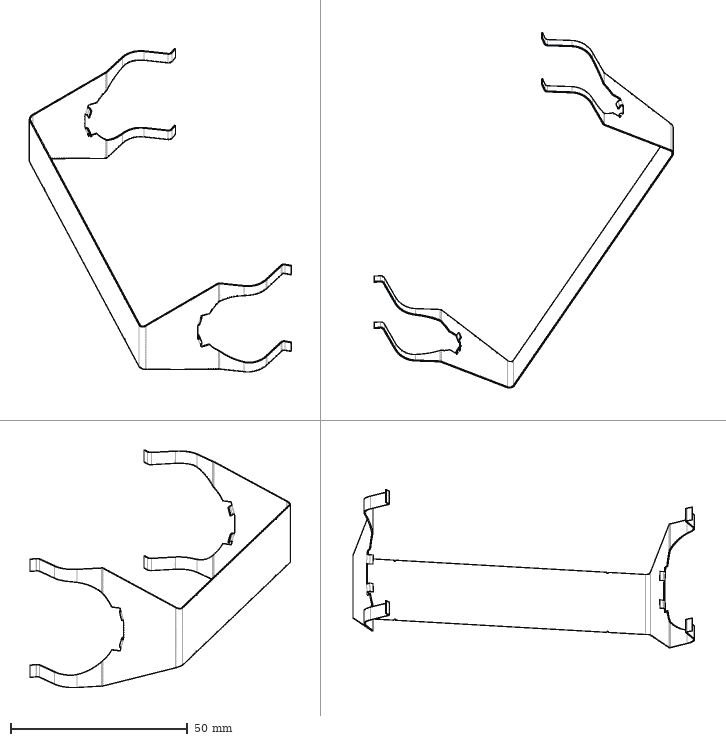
import cadquery as cq
import math

length = 96.2
depth = 45.5
height = 36.1
sheet = 0.35

base_height = 17.5
taper_start = 0.4
notch_spacing = 62.1
notch_radius = 0.3

corner_radius = 1.5
arm_angle = 30.0
arm_start = 23.75
arm_root_radius = 0.5
arm_rise = 7.0
bulge_radius = 6.9
arm_return = 6.8
lip_radius = 0.9
lip_angle = 36.0

opening_center = 33.8
opening_radius = 14.3
recess_depth = 16.3
recess_height = 13.1

tab_angle = 15.0
tab_width = 2.6
tab_reach = 1.7
tab_distance = 16.1
tab_bend_radius = 0.4

sin_arm = math.sin(math.radians(arm_angle))
cos_arm = math.cos(math.radians(arm_angle))
arm_offset = (arm_root_radius + bulge_radius) * (1 - cos_arm) + arm_rise * sin_arm
wall_x = length / 2 - arm_offset
rise_start = arm_start + arm_root_radius * sin_arm
rise_end = rise_start + arm_rise * cos_arm
bulge_center = rise_end + bulge_radius * sin_arm
lip_bend_start = bulge_center + bulge_radius * sin_arm + arm_return * cos_arm
sin_lip = math.sin(math.radians(lip_angle))
cos_lip = math.cos(math.radians(lip_angle))
lip_start = lip_bend_start + lip_radius * (sin_arm + sin_lip)
lip_length = (depth - sheet * sin_lip - lip_start) / cos_lip

tab_root = tab_distance + tab_bend_radius


def bent_sheet(plane, start, heading, steps):
    """Face of a bent sheet that lies to the right of a path of ("line", length) and
    ("bend", radius, angle) steps; a positive angle turns left. Headings are in degrees."""
    def beside(point, direction, offset):
        turn = math.radians(direction - 90)
        return (point[0] + offset * math.cos(turn), point[1] + offset * math.sin(turn))

    stations = [(start, heading)]
    bends = []
    for kind, size, *angle in steps:
        point, heading = stations[-1]
        if kind == "line":
            stations.append((beside(point, heading + 90, size), heading))
            bends.append(None)
        else:
            side = math.copysign(size, angle[0])
            center = beside(point, heading, -side)
            middle = heading + angle[0] / 2
            heading += angle[0]
            bends.append((beside(center, middle, side), middle))
            stations.append((beside(center, heading, side), heading))

    face = cq.Workplane(plane).moveTo(*start)
    for bend, station in zip(bends, stations[1:]):
        if bend:
            face = face.threePointArc(bend[0], station[0])
        else:
            face = face.lineTo(*station[0])
    face = face.lineTo(*beside(*stations[-1], sheet))
    for bend, station in zip(reversed(bends), reversed(stations[:-1])):
        if bend:
            face = face.threePointArc(beside(*bend, sheet), beside(*station, sheet))
        else:
            face = face.lineTo(*beside(*station, sheet))
    return face.close()


def bent_half():
    """Left half of the bracket at full height: half the base, one wall and its arm."""
    steps = [
        ("line", wall_x - corner_radius),
        ("bend", corner_radius, -90),
        ("line", arm_start - corner_radius),
        ("bend", arm_root_radius, arm_angle),
        ("line", arm_rise),
        ("bend", bulge_radius, -2 * arm_angle),
        ("line", arm_return),
        ("bend", lip_radius, arm_angle + lip_angle),
        ("line", lip_length),
    ]
    return bent_sheet("XY", (0, 0), 180, steps).extrude(height / 2, both=True)


def folded_depth(flat):
    """Depth along Y reached by a point of the flat sheet once the arm is bent."""
    bend_length = arm_root_radius * math.radians(arm_angle)
    along = flat - arm_start
    if along <= 0:
        return flat
    if along <= bend_length:
        return arm_start + arm_root_radius * math.sin(along / arm_root_radius)
    along -= bend_length
    if along <= arm_rise:
        return rise_start + along * cos_arm
    angle = math.radians(arm_angle) - (along - arm_rise) / bulge_radius
    return bulge_center - bulge_radius * math.sin(angle)


def across_sheet(profile):
    """Extrude a YZ profile toward -X, through the whole left half."""
    return profile.extrude(-length)


def side_outline():
    """Side silhouette: the base height widening to the arm height."""
    low = base_height / 2
    high = height / 2
    outline = [(0, low), (taper_start, low), (arm_start, high), (depth, high)]
    mirrored = [(y, -z) for y, z in reversed(outline)]
    return across_sheet(cq.Workplane("YZ").polyline(outline + mirrored).close())


def arm_opening():
    """Opening that is round on the flat sheet, so its rim follows the bends."""
    rim_steps = 16
    wall_end = math.acos((opening_center - arm_start) / opening_radius)
    rim = []
    for step in range(rim_steps + 1):
        angle = wall_end + (math.pi / 2 - wall_end) * step / rim_steps
        flat = opening_center - opening_radius * math.cos(angle)
        rim.append((folded_depth(flat), opening_radius * math.sin(angle)))
    lower_rim = [(y, -z) for y, z in reversed(rim)]
    profile = (
        cq.Workplane("YZ").moveTo(*lower_rim[-1])
        .threePointArc((opening_center - opening_radius, 0), rim[0])
        .spline(rim[1:], includeCurrent=True)
        .lineTo(depth, opening_radius)
        .lineTo(depth, -opening_radius)
        .lineTo(*lower_rim[0])
        .spline(lower_rim[1:], includeCurrent=True)
        .close()
    )
    return across_sheet(profile)


def tab_recess():
    """Shallow recess at the root of the opening: a straight floor between two sloping tab edges."""
    tilt = math.radians(tab_angle)
    side = recess_height / 2
    floor = opening_center - recess_depth
    floor_side = (tab_root - recess_depth * math.cos(tilt)) / math.sin(tilt)
    slope_end = opening_center - (tab_root - side * math.sin(tilt)) / math.cos(tilt)
    mouth = opening_center - math.sqrt(opening_radius**2 - side**2)
    outline = [(mouth, side), (slope_end, side), (floor, floor_side)]
    mirrored = [(y, -z) for y, z in reversed(outline)]
    return across_sheet(cq.Workplane("YZ").polyline(outline + mirrored).close())


def tab(angle):
    """Tab that leaves the wall with a small bend and points inward along X."""
    root_overlap = 0.5
    bend_radius = tab_bend_radius + sheet
    steps = [
        ("line", root_overlap),
        ("bend", bend_radius, -90),
        ("line", tab_reach - bend_radius),
    ]
    start = (-wall_x, opening_center - tab_root - root_overlap)
    flat_tab = bent_sheet("XY", start, 90, steps).extrude(tab_width / 2, both=True)
    return flat_tab.rotate((0, opening_center, 0), (1, opening_center, 0), angle)


def edge_notches():
    """Small round notches in the long edges of the base."""
    points = [(-notch_spacing / 2, base_height / 2), (-notch_spacing / 2, -base_height / 2)]
    return cq.Workplane("XZ").pushPoints(points).circle(notch_radius).extrude(sheet, both=True)


half = bent_half().intersect(side_outline())
half = half.cut(arm_opening()).cut(tab_recess()).cut(edge_notches())
for angle in (-tab_angle, tab_angle):
    half = half.union(tab(angle))

result = half.union(half.mirror("YZ")).clean()